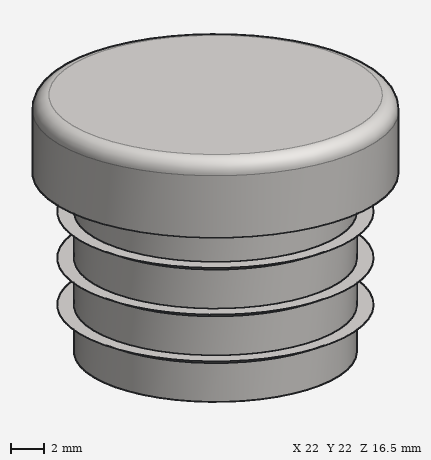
import cadquery as cq

head_diameter = 22.0
total_height = 16.5

head_height = 5.0
head_edge_radius = 1.0

stem_diameter = 17.0
stem_height = total_height - head_height

rib_diameter = 19.0
rib_height = 0.5
rib_count = 3
band_height = (stem_height - rib_count * rib_height) / (rib_count + 1)
rib_pitch = band_height + rib_height


def make_head():
    head = cq.Workplane("XY").workplane(offset=stem_height).circle(head_diameter / 2).extrude(head_height)
    return head.faces(">Z").edges().fillet(head_edge_radius)


def make_stem():
    return cq.Workplane("XY").circle(stem_diameter / 2).extrude(stem_height)


def make_rib(bottom):
    """Solid conical disc around the stem, widest at its flat top."""
    top = bottom + rib_height
    profile = [
        (0, bottom),
        (stem_diameter / 2, bottom),
        (rib_diameter / 2, top),
        (0, top),
    ]
    return cq.Workplane("XZ").polyline(profile).close().revolve(360, (0, 0, 0), (0, 1, 0))


result = make_stem().union(make_head())
for index in range(rib_count):
    result = result.union(make_rib(band_height + index * rib_pitch))